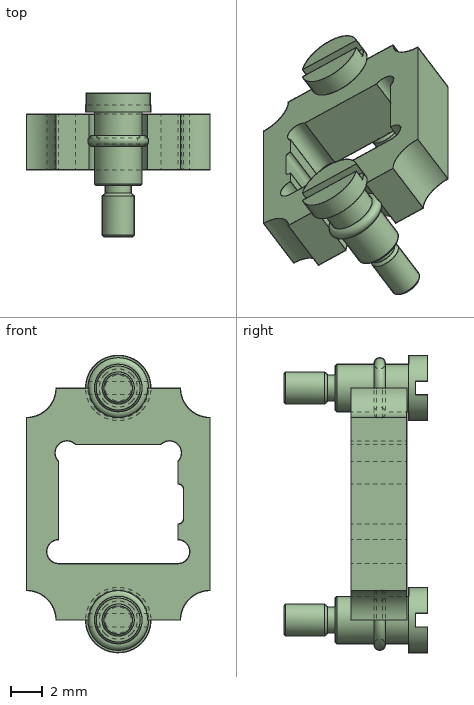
import cadquery as cq

TOTAL_HEIGHT = 18.65
HEAD_RADIUS = 2.05
SCREW_AXIS_Z = TOTAL_HEIGHT / 2 - HEAD_RADIUS

FRAME_WIDTH = 11.5
FRAME_HEIGHT = 2 * SCREW_AXIS_Z
FRAME_DEPTH = 3.5
CORNER_SCOOP_RADIUS = 1.85
SADDLE_RADIUS = 1.85

WINDOW_SIZE = 7.46
RELIEF_RADIUS = 0.75
UPPER_RELIEF_OFFSET = 3.2
NOTCH_DEPTH = 0.35
NOTCH_HEIGHT = 2.5
NOTCH_FILLET = 0.34

HEAD_GAP = 0.11
HEAD_THICKNESS = 1.2
SLOT_WIDTH = 0.84
SLOT_DEPTH = 0.75
SHANK_RADIUS = 1.5
SHANK_LENGTH = 4.6
NECK_RADIUS = 0.82
NECK_LENGTH = 0.47
TIP_RADIUS = 1.0
SCREW_LENGTH = 9.0
TIP_END = SCREW_LENGTH - HEAD_THICKNESS
END_CHAMFER = 0.11

RING_OUTER_RADIUS = 1.9
RING_WIRE_RADIUS = 0.35
RING_POSITION = 1.8

UNDERHEAD_Y = FRAME_DEPTH / 2 + HEAD_GAP


def make_ring(axis_z):
    """Round-wire ring around a screw axis."""
    return cq.Workplane(cq.Solid.makeTorus(
        RING_OUTER_RADIUS - RING_WIRE_RADIUS,
        RING_WIRE_RADIUS,
        cq.Vector(0, UNDERHEAD_Y - RING_POSITION, axis_z),
        cq.Vector(0, 1, 0),
    ))


def make_screw(axis_z):
    """Slotted screw with a plain shank, necked tip and a groove that seats the ring."""
    taper = TIP_RADIUS - NECK_RADIUS
    neck_end = SHANK_LENGTH + NECK_LENGTH
    profile = [
        (0, HEAD_THICKNESS),
        (HEAD_RADIUS, HEAD_THICKNESS),
        (HEAD_RADIUS, 0),
        (SHANK_RADIUS, 0),
        (SHANK_RADIUS, END_CHAMFER - SHANK_LENGTH),
        (SHANK_RADIUS - END_CHAMFER, -SHANK_LENGTH),
        (NECK_RADIUS, -SHANK_LENGTH),
        (NECK_RADIUS, -neck_end),
        (TIP_RADIUS, -neck_end - taper),
        (TIP_RADIUS, END_CHAMFER - TIP_END),
        (TIP_RADIUS - END_CHAMFER, -TIP_END),
        (0, -TIP_END),
    ]
    screw = cq.Workplane("XY").polyline(profile).close().revolve(360, (0, 0, 0), (0, 1, 0))
    slot = (
        cq.Workplane("XY")
        .box(2 * HEAD_RADIUS, SLOT_DEPTH, SLOT_WIDTH)
        .translate((0, HEAD_THICKNESS - SLOT_DEPTH / 2, 0))
    )
    screw = screw.cut(slot).translate((0, UNDERHEAD_Y, axis_z))
    return screw.cut(make_ring(axis_z))


def frame_block(width, height):
    """Block centred on the origin that spans the frame depth."""
    return cq.Workplane("XY").box(width, FRAME_DEPTH, height)


def frame_cylinders(points, radius):
    """Cylinders along Y through the frame depth at the given (X, Z) points."""
    return (
        cq.Workplane("XZ", origin=(0, FRAME_DEPTH / 2, 0))
        .pushPoints(points)
        .circle(radius)
        .extrude(FRAME_DEPTH)
    )


def make_window():
    """Square opening with four round corner reliefs and a filleted notch on the +X side."""
    half = WINDOW_SIZE / 2
    lower_relief_z = RELIEF_RADIUS - half
    reliefs = []
    for side in (-1, 1):
        reliefs.append((side * UPPER_RELIEF_OFFSET, UPPER_RELIEF_OFFSET))
        reliefs.append((side * half, lower_relief_z))
    notch_reach = half + NOTCH_DEPTH
    notch = (
        frame_block(notch_reach, NOTCH_HEIGHT)
        .edges("|Y and >X")
        .fillet(NOTCH_FILLET)
        .translate((notch_reach / 2, 0, 0))
    )
    window = frame_block(WINDOW_SIZE, WINDOW_SIZE)
    return window.union(frame_cylinders(reliefs, RELIEF_RADIUS)).union(notch)


def make_frame():
    """Windowed frame with scooped corners and saddles for the screws and rings."""
    half_width = FRAME_WIDTH / 2
    half_height = FRAME_HEIGHT / 2
    corners = [(x, z) for x in (-half_width, half_width) for z in (-half_height, half_height)]
    saddles = [(0, z) for z in (-SCREW_AXIS_Z, SCREW_AXIS_Z)]
    frame = (
        frame_block(FRAME_WIDTH, FRAME_HEIGHT)
        .cut(make_window())
        .cut(frame_cylinders(corners, CORNER_SCOOP_RADIUS))
        .cut(frame_cylinders(saddles, SADDLE_RADIUS))
    )
    for _, axis_z in saddles:
        frame = frame.cut(make_ring(axis_z))
    return frame


frame = make_frame()
screws = []
rings = []
for screw_z in (-SCREW_AXIS_Z, SCREW_AXIS_Z):
    screws.append(make_screw(screw_z).solids().val())
    rings.append(make_ring(screw_z).val())

result = cq.Compound.makeCompound([frame.solids().val(), *screws, *rings])